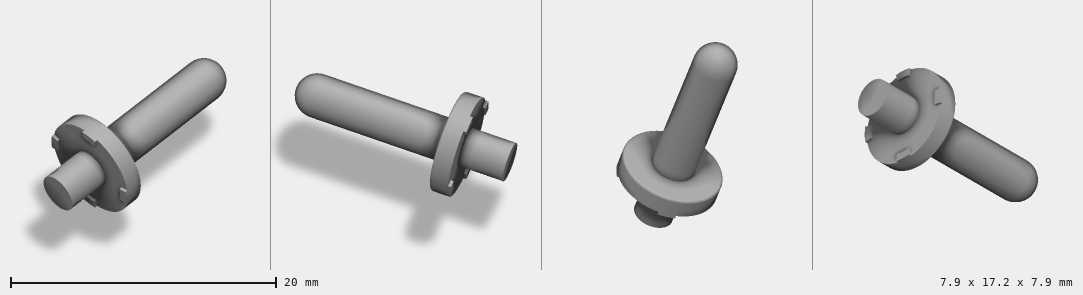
import cadquery as cq
import math

total_length = 17.25
pin_diameter = 3.4
tail_diameter = 3.05
tail_length = 3.5
flange_diameter = 7.9
flange_thickness = 1.5
flange_edge_radius = 0.2
tab_count = 4
tab_height = 0.25
tab_radial_depth = 0.6
tab_angle = 20.0

pin_radius = pin_diameter / 2
tail_radius = tail_diameter / 2
flange_radius = flange_diameter / 2
flange_front = tail_length
flange_back = flange_front + flange_thickness
dome_center = total_length - pin_radius
axis_start = (0, 0, 0)
axis_end = (0, 1, 0)
diagonal = math.sqrt(0.5)


def turned_body():
    """Tail, flange with a rounded pin-side rim, and domed pin as one revolved profile."""
    rim_center_radius = flange_radius - flange_edge_radius
    rim_center_y = flange_back - flange_edge_radius
    rim_offset = flange_edge_radius * diagonal
    dome_offset = pin_radius * diagonal
    return (
        cq.Workplane("XY")
        .lineTo(tail_radius, 0)
        .lineTo(tail_radius, flange_front)
        .lineTo(flange_radius, flange_front)
        .lineTo(flange_radius, rim_center_y)
        .threePointArc(
            (rim_center_radius + rim_offset, rim_center_y + rim_offset),
            (rim_center_radius, flange_back),
        )
        .lineTo(pin_radius, flange_back)
        .lineTo(pin_radius, dome_center)
        .threePointArc((dome_offset, dome_center + dome_offset), (0, total_length))
        .close()
        .revolve(360, axis_start, axis_end)
    )


def flange_tabs():
    """Ring segments with radial sides, evenly spaced on the tail-side face of the flange."""
    segment = (
        cq.Workplane("XY")
        .moveTo(flange_radius - tab_radial_depth, flange_front - tab_height)
        .lineTo(flange_radius, flange_front - tab_height)
        .lineTo(flange_radius, flange_front)
        .lineTo(flange_radius - tab_radial_depth, flange_front)
        .close()
        .revolve(tab_angle, axis_start, axis_end)
        .rotate(axis_start, axis_end, -tab_angle / 2)
    )
    tabs = cq.Workplane("XY")
    for index in range(tab_count):
        tabs = tabs.add(segment.rotate(axis_start, axis_end, index * 360 / tab_count))
    return tabs.combine()


result = turned_body().union(flange_tabs(), clean=True)